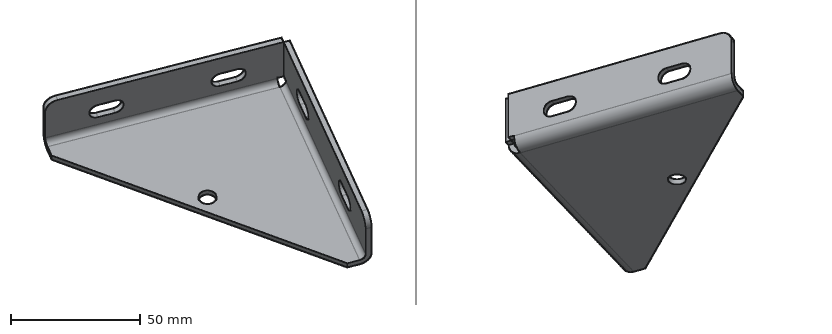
import cadquery as cq

side = 100.0
height = 25.0
thickness = 2.5
inner_bend = 2.5
outer_bend = inner_bend + thickness
tip_width = 10.0
corner_radius = 5.0
slot_length = 14.0
slot_width = 7.0
slot_height = height / 2
slot_positions = (side / 4, 3 * side / 4)
hole_diameter = 7.0


def base_plate():
    """Flat triangle inside the bends, with a hole at the center of the bracket square."""
    outline = [
        (outer_bend, 0),
        (tip_width, 0),
        (side, side - tip_width),
        (side, side - outer_bend),
        (outer_bend, side - outer_bend),
    ]
    plate = cq.Workplane("XY").polyline(outline).close().extrude(thickness)
    hole = cq.Workplane("XY").center(side / 2, side / 2).circle(hole_diameter / 2).extrude(thickness)
    return plate.cut(hole)


def left_bend():
    """Quarter-round bend along Y, stopping short of the corner relief."""
    diagonal = 0.5 ** 0.5
    outer_mid = outer_bend * (1 - diagonal)
    inner_mid = outer_bend - inner_bend * diagonal
    return (
        cq.Workplane("XZ")
        .moveTo(outer_bend, 0)
        .threePointArc((outer_mid, outer_mid), (0, outer_bend))
        .lineTo(thickness, outer_bend)
        .threePointArc((inner_mid, inner_mid), (outer_bend, thickness))
        .close()
        .extrude(-(side - outer_bend))
    )


def left_wall():
    """Upright flange with a rounded free corner and two slots."""
    wall = (
        cq.Workplane("XY")
        .box(thickness, side - thickness, height - outer_bend, centered=False)
        .translate((0, 0, outer_bend))
        .edges("|X and <Y and >Z")
        .fillet(corner_radius)
    )
    slots = (
        cq.Workplane("YZ")
        .pushPoints([(y, slot_height) for y in slot_positions])
        .slot2D(slot_length, slot_width)
        .extrude(thickness)
    )
    return wall.cut(slots)


def mirror_to_back(flange):
    """Swap the left flange onto the back edge by reflection in the line x + y = side."""
    return flange.mirror("YZ").rotate((0, 0, 0), (0, 0, 1), 90).translate((side, side, 0))


left_flange = left_bend().union(left_wall())
back_flange = mirror_to_back(left_flange)
result = base_plate().union(left_flange).union(back_flange)